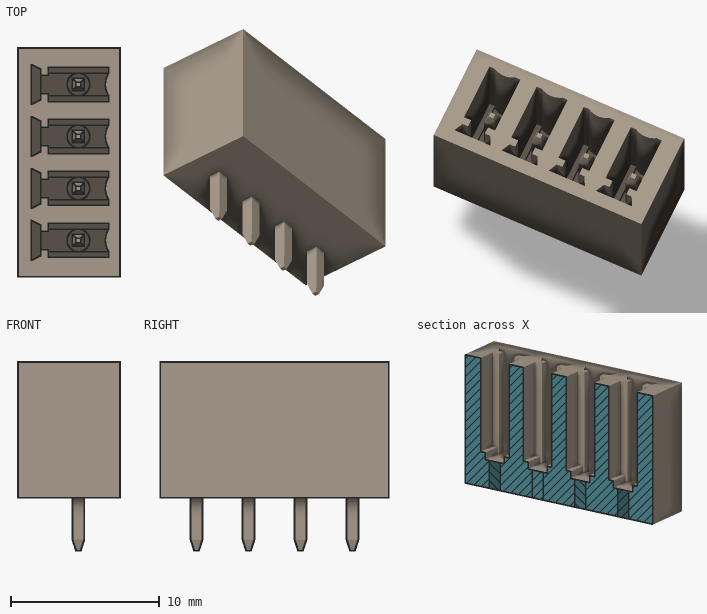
import cadquery as cq

HOUSING_WIDTH = 6.86
HOUSING_LENGTH = 15.39
HOUSING_HEIGHT = 9.13

CONTACT_COUNT = 4
CONTACT_PITCH = 3.5
CONTACT_X = 0.63

FLOOR_THICKNESS = 2.0
LEDGE_HEIGHT = 0.5
CHAMBER_START_X = -1.4
CHAMBER_END_X = 2.66
CHAMBER_WIDTH = 2.3
FLOOR_WIDTH = 1.52
BULGE_DEPTH = 0.22

DOVETAIL_BACK_X = -2.52
DOVETAIL_FRONT_X = -1.9
DOVETAIL_BACK_WIDTH = 2.68
DOVETAIL_FRONT_WIDTH = 2.05
DOVETAIL_FLOOR_RISE = LEDGE_HEIGHT
NECK_WIDTH = 1.25

BUSHING_DIAMETER = FLOOR_WIDTH

PIN_SIZE = 0.82
PIN_TIP_SIZE = 0.32
PIN_TIP_LENGTH = 0.77
PIN_PROJECTION = 3.57
PIN_TOP_RECESS = 3.0

pin_top_z = HOUSING_HEIGHT - PIN_TOP_RECESS
contact_ys = [(i - (CONTACT_COUNT - 1) / 2) * CONTACT_PITCH for i in range(CONTACT_COUNT)]


def box_between(x_start, x_end, width, z_start, z_end):
    """Box spanning the given X and Z ranges, centred on Y."""
    return (
        cq.Workplane("XY", origin=((x_start + x_end) / 2, 0, z_start))
        .rect(x_end - x_start, width)
        .extrude(z_end - z_start)
    )


def make_dovetail_slot():
    """Trapezoidal slot, widest at its back wall."""
    floor_z = FLOOR_THICKNESS + DOVETAIL_FLOOR_RISE
    return (
        cq.Workplane("XY", origin=(0, 0, floor_z))
        .moveTo(DOVETAIL_BACK_X, -DOVETAIL_BACK_WIDTH / 2)
        .lineTo(DOVETAIL_FRONT_X, -DOVETAIL_FRONT_WIDTH / 2)
        .lineTo(DOVETAIL_FRONT_X, DOVETAIL_FRONT_WIDTH / 2)
        .lineTo(DOVETAIL_BACK_X, DOVETAIL_BACK_WIDTH / 2)
        .close()
        .extrude(HOUSING_HEIGHT - floor_z)
    )


def make_wall_bulge():
    """Rounded swelling of the chamber's +X wall, as wide as the floor."""
    return (
        cq.Workplane("XY", origin=(0, 0, FLOOR_THICKNESS))
        .moveTo(CHAMBER_END_X, -FLOOR_WIDTH / 2)
        .threePointArc((CHAMBER_END_X - BULGE_DEPTH, 0), (CHAMBER_END_X, FLOOR_WIDTH / 2))
        .close()
        .extrude(HOUSING_HEIGHT - FLOOR_THICKNESS)
    )


def make_socket():
    """Space removed from the housing above one contact, centred on Y = 0."""
    ledge_z = FLOOR_THICKNESS + LEDGE_HEIGHT
    chamber = box_between(CHAMBER_START_X, CHAMBER_END_X, CHAMBER_WIDTH, ledge_z, HOUSING_HEIGHT)
    trough = box_between(CHAMBER_START_X, CHAMBER_END_X, FLOOR_WIDTH, FLOOR_THICKNESS, ledge_z)
    neck = box_between(DOVETAIL_FRONT_X, CHAMBER_START_X, NECK_WIDTH, FLOOR_THICKNESS, HOUSING_HEIGHT)
    return chamber.union(trough).union(neck).union(make_dovetail_slot()).cut(make_wall_bulge())


def make_bushing_disc():
    """Solid disc through the full floor thickness, used for the bushing and for its hole."""
    return cq.Workplane("XY").center(CONTACT_X, 0).circle(BUSHING_DIAMETER / 2).extrude(FLOOR_THICKNESS)


def make_pin_tip(base_z, direction):
    """Square frustum that narrows away from base_z, upward (+1) or downward (-1)."""
    return (
        cq.Workplane("XY", origin=(CONTACT_X, 0, base_z))
        .rect(PIN_SIZE, PIN_SIZE)
        .workplane(offset=direction * PIN_TIP_LENGTH)
        .rect(PIN_TIP_SIZE, PIN_TIP_SIZE)
        .loft(ruled=True)
    )


def make_pin():
    """Square pin with both tips, centred on Y = 0."""
    shank_bottom_z = PIN_TIP_LENGTH - PIN_PROJECTION
    shank_top_z = pin_top_z - PIN_TIP_LENGTH
    shank = (
        cq.Workplane("XY", origin=(CONTACT_X, 0, shank_bottom_z))
        .rect(PIN_SIZE, PIN_SIZE)
        .extrude(shank_top_z - shank_bottom_z)
    )
    return shank.union(make_pin_tip(shank_top_z, 1)).union(make_pin_tip(shank_bottom_z, -1))


def make_bushing():
    """Round bushing with a square hole that fits the pin, centred on Y = 0."""
    return make_bushing_disc().cut(make_pin())


def make_housing():
    """Block with one socket and one bushing hole for each contact."""
    block = cq.Workplane("XY").rect(HOUSING_WIDTH, HOUSING_LENGTH).extrude(HOUSING_HEIGHT)
    for y in contact_ys:
        block = block.cut(make_socket().translate((0, y, 0)))
        block = block.cut(make_bushing_disc().translate((0, y, 0)))
    return block


housing = make_housing()
pins = [make_pin().translate((0, y, 0)) for y in contact_ys]
bushings = [make_bushing().translate((0, y, 0)) for y in contact_ys]

result = cq.Compound.makeCompound(
    [housing.val(), *[pin.val() for pin in pins], *[bushing.val() for bushing in bushings]]
)